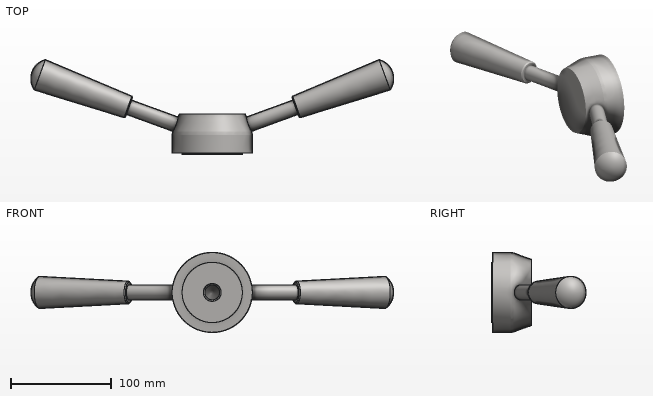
import cadquery as cq
import math

overall_span = 359.7

hub_radius = 79.5 / 2
hub_back_radius = 32.7
hub_depth = 40.0
face_radius = 59.7 / 2
face_height = 1.0
shoulder_round = 9.0

bore_radius = 14.7 / 2
bore_mouth_radius = 17.5 / 2
bore_depth = 21.5
drill_point_angle = 118

arm_tilt = 20
arm_origin_y = 16.5
rod_radius = 15.0 / 2
rod_start = 14.5
grip_start = 87.8
grip_small_radius = 22.5 / 2
grip_large_radius = 32.0 / 2
grip_chamfer = 1.0
dome_height = 8.3


def make_hub():
    """Stepped disc with a tapered back and a rounded shoulder."""
    tilt = math.radians(arm_tilt)
    shoulder_y = hub_depth - (hub_radius - hub_back_radius) / math.tan(tilt)
    profile = (
        cq.Workplane("XY")
        .polyline([
            (0, 0),
            (face_radius, 0),
            (face_radius, face_height),
            (hub_radius, face_height),
            (hub_radius, shoulder_y),
            (hub_back_radius, hub_depth),
            (0, hub_depth),
        ])
        .close()
    )
    hub = profile.revolve(360, (0, 0, 0), (0, 1, 0))
    shoulder_edge = cq.selectors.NearestToPointSelector((0, shoulder_y, 0))
    return hub.edges("%CIRCLE").edges(shoulder_edge).fillet(shoulder_round)


def make_bore():
    """Drilled hole with a chamfered mouth and a conical bottom."""
    point_depth = bore_radius / math.tan(math.radians(drill_point_angle / 2))
    return (
        cq.Workplane("XY")
        .polyline([
            (0, 0),
            (bore_mouth_radius, 0),
            (bore_radius, bore_mouth_radius - bore_radius),
            (bore_radius, bore_depth),
            (0, bore_depth + point_depth),
        ])
        .close()
        .revolve(360, (0, 0, 0), (0, 1, 0))
    )


def make_arm():
    """Rod and tapered, domed grip, turned about the X axis and then tilted."""
    dome_radius = (grip_large_radius**2 + dome_height**2) / (2 * dome_height)
    dome_center = (overall_span / 2 - dome_radius) / math.cos(math.radians(arm_tilt))
    dome_tip = dome_center + dome_radius
    grip_end = dome_tip - dome_height
    half_angle = math.asin(grip_large_radius / dome_radius) / 2
    dome_middle = (
        dome_center + dome_radius * math.cos(half_angle),
        dome_radius * math.sin(half_angle),
    )
    arm = (
        cq.Workplane("XY")
        .moveTo(rod_start, 0)
        .lineTo(rod_start, rod_radius)
        .lineTo(grip_start, rod_radius)
        .lineTo(grip_start, grip_small_radius - grip_chamfer)
        .lineTo(grip_start + grip_chamfer, grip_small_radius)
        .lineTo(grip_end, grip_large_radius)
        .threePointArc(dome_middle, (dome_tip, 0))
        .close()
        .revolve(360, (0, 0, 0), (1, 0, 0))
    )
    return arm.rotate((0, 0, 0), (0, 0, 1), arm_tilt).translate((0, arm_origin_y, 0))


right_arm = make_arm()
left_arm = right_arm.mirror("YZ")
result = make_hub().union(right_arm).union(left_arm).cut(make_bore())